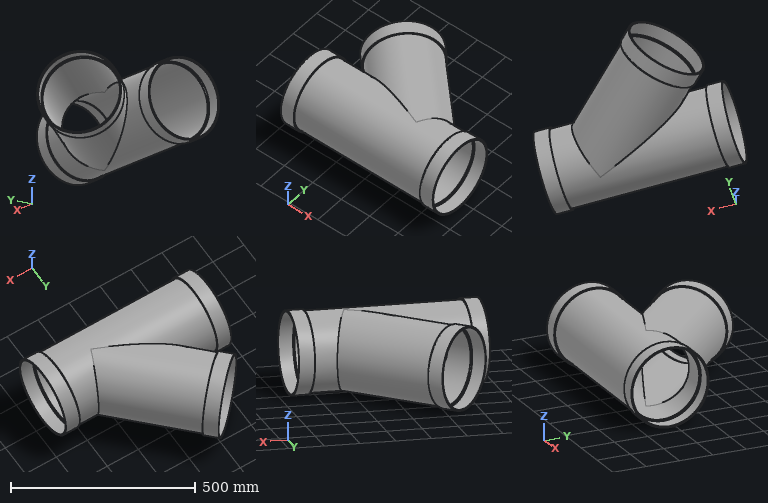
import cadquery as cq
import math

wall = 4.0
bore_diameter = 217.0
pipe_diameter = bore_diameter + 2 * wall
collar_diameter = pipe_diameter + 2 * wall

run_length = 534.0
collar_length = 45.0
socket_depth = 40.5
taper_length = wall

branch_angle = 45.0
branch_length = 379.5
junction_x = 112.5

lean = math.radians(branch_angle)
run_direction = cq.Vector(1, 0, 0)
branch_direction = cq.Vector(-math.cos(lean), math.sin(lean), 0)

run_start = cq.Vector(-run_length / 2, 0, 0)
run_end = cq.Vector(run_length / 2, 0, 0)
junction = cq.Vector(junction_x, 0, 0)
branch_mouth = junction + branch_direction * branch_length


def cylinder(diameter, length, start, direction):
    """Solid cylinder running from start along direction."""
    solid = cq.Solid.makeCylinder(diameter / 2, length, start, direction)
    return cq.Workplane(obj=solid)


def socket_taper(mouth, inward):
    """Cone narrowing from the socket to the bore."""
    start = mouth + inward * socket_depth
    solid = cq.Solid.makeCone(pipe_diameter / 2, bore_diameter / 2, taper_length, start, inward)
    return cq.Workplane(obj=solid)


open_ends = [
    (run_start, run_direction),
    (run_end, -run_direction),
    (branch_mouth, -branch_direction),
]

body = cylinder(pipe_diameter, run_length, run_start, run_direction)
body = body.union(cylinder(pipe_diameter, branch_length, junction, branch_direction))
for mouth, inward in open_ends:
    body = body.union(cylinder(collar_diameter, collar_length, mouth, inward))

body = body.cut(cylinder(bore_diameter, run_length, run_start, run_direction))
body = body.cut(cylinder(bore_diameter, branch_length, junction, branch_direction))
for mouth, inward in open_ends:
    body = body.cut(cylinder(pipe_diameter, socket_depth, mouth, inward))
    body = body.cut(socket_taper(mouth, inward))

result = body